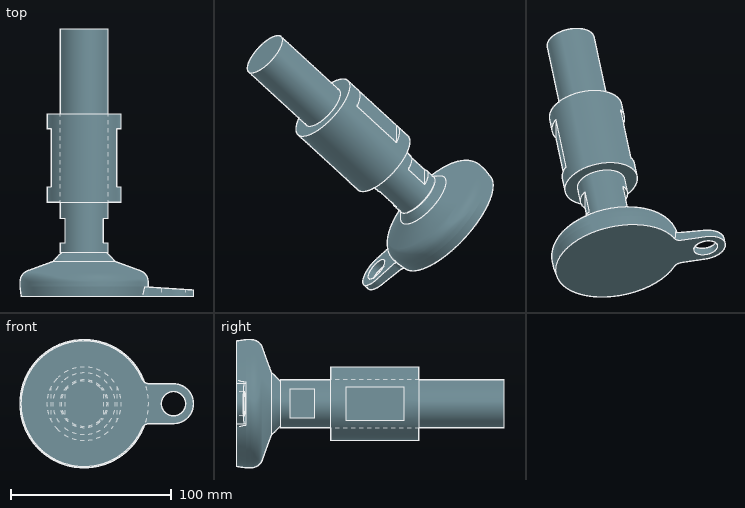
import cadquery as cq
import math


overall_length = 166.5
spindle_radius = 15.0
spindle_flat_gap = 24.0
spindle_flat_start = 33.5
spindle_flat_length = 15.0

neck_top = 27.3
neck_top_radius = 14.2
neck_break = 23.6
neck_break_radius = neck_top_radius + neck_top - neck_break

sleeve_radius = 23.0
sleeve_start = 58.6
sleeve_length = 55.0
sleeve_flat_gap = 41.0
sleeve_flat_start = 68.3
sleeve_flat_length = 36.0

foot_radius = 40.0
sole_radius = 39.1
rim_start = 6.0
rim_end = 9.2
shoulder_radius = 7.5
dish_angle = math.radians(20)
neck_base_radius = 19.3

lug_radius = 12.5
lug_hole_radius = 7.5
lug_reach = 68.1
lug_tip_thickness = 4.2
lug_blend_radius = 5.0
lug_hole_x = lug_reach - lug_radius


def prism(outline, start, length):
    """Extrude an outline, drawn as (X, Z), along +Y."""
    return outline(cq.Workplane("XZ", origin=(0, start, 0))).extrude(-length)


def cylinder(radius, start, length, x=0):
    return prism(lambda plane: plane.center(x, 0).circle(radius), start, length)


def cut_flats(body, radius, gap, start, length):
    """Cut a pair of parallel wrench flats that face -X and +X."""
    ring = cylinder(2 * radius, start, length)
    kept_core = prism(lambda plane: plane.rect(gap, 4 * radius), start, length)
    return body.cut(ring.cut(kept_core))


def make_foot_disc():
    """Revolve the dished foot with its tapered sole and conical neck."""
    shoulder_x = foot_radius - shoulder_radius
    dish_x = shoulder_x + shoulder_radius * math.sin(dish_angle)
    dish_y = rim_end + shoulder_radius * math.cos(dish_angle)
    mid_angle = (math.pi / 2 + dish_angle) / 2
    shoulder_middle = (
        shoulder_x + shoulder_radius * math.sin(mid_angle),
        rim_end + shoulder_radius * math.cos(mid_angle),
    )
    neck_base = dish_y + (dish_x - neck_base_radius) * math.tan(dish_angle)
    return (
        cq.Workplane("XY")
        .lineTo(sole_radius, 0)
        .lineTo(foot_radius, rim_start)
        .lineTo(foot_radius, rim_end)
        .threePointArc(shoulder_middle, (dish_x, dish_y))
        .lineTo(neck_base_radius, neck_base)
        .lineTo(neck_break_radius, neck_break)
        .lineTo(neck_top_radius, neck_top)
        .lineTo(0, neck_top)
        .close()
        .revolve(360, (0, 0, 0), (0, 1, 0))
    )


def make_lug():
    """Build the drilled lug, blended into the sole and thinning towards its tip."""
    blend_z = lug_radius + lug_blend_radius
    blend_distance = sole_radius + lug_blend_radius
    blend_angle = math.asin(blend_z / blend_distance)
    blend_x = blend_distance * math.cos(blend_angle)
    sole_x = sole_radius * math.cos(blend_angle)
    sole_z = sole_radius * math.sin(blend_angle)
    middle_angle = (blend_angle + math.pi / 2) / 2
    middle_x = blend_x - lug_blend_radius * math.cos(middle_angle)
    middle_z = blend_z - lug_blend_radius * math.sin(middle_angle)

    def outline(plane):
        return (
            plane.lineTo(sole_x, sole_z)
            .threePointArc((middle_x, middle_z), (blend_x, lug_radius))
            .lineTo(lug_hole_x, lug_radius)
            .threePointArc((lug_reach, 0), (lug_hole_x, -lug_radius))
            .lineTo(blend_x, -lug_radius)
            .threePointArc((middle_x, -middle_z), (sole_x, -sole_z))
            .close()
        )

    taper = (
        cq.Workplane("XY")
        .polyline([
            (0, 0),
            (lug_reach, 0),
            (lug_reach, lug_tip_thickness),
            (foot_radius, rim_start),
            (0, rim_start),
        ])
        .close()
        .extrude(foot_radius, both=True)
    )
    hole = cylinder(lug_hole_radius, 0, rim_start, lug_hole_x)
    return prism(outline, 0, rim_start).intersect(taper).cut(hole)


def make_footed_spindle():
    spindle = cut_flats(
        cylinder(spindle_radius, neck_top, overall_length - neck_top),
        spindle_radius,
        spindle_flat_gap,
        spindle_flat_start,
        spindle_flat_length,
    )
    return make_foot_disc().union(make_lug()).union(spindle)


def make_sleeve():
    bore = cylinder(spindle_radius, sleeve_start, sleeve_length)
    return cut_flats(
        cylinder(sleeve_radius, sleeve_start, sleeve_length).cut(bore),
        sleeve_radius,
        sleeve_flat_gap,
        sleeve_flat_start,
        sleeve_flat_length,
    )


footed_spindle = make_footed_spindle()
sleeve = make_sleeve()
result = cq.Compound.makeCompound([footed_spindle.val(), sleeve.val()])